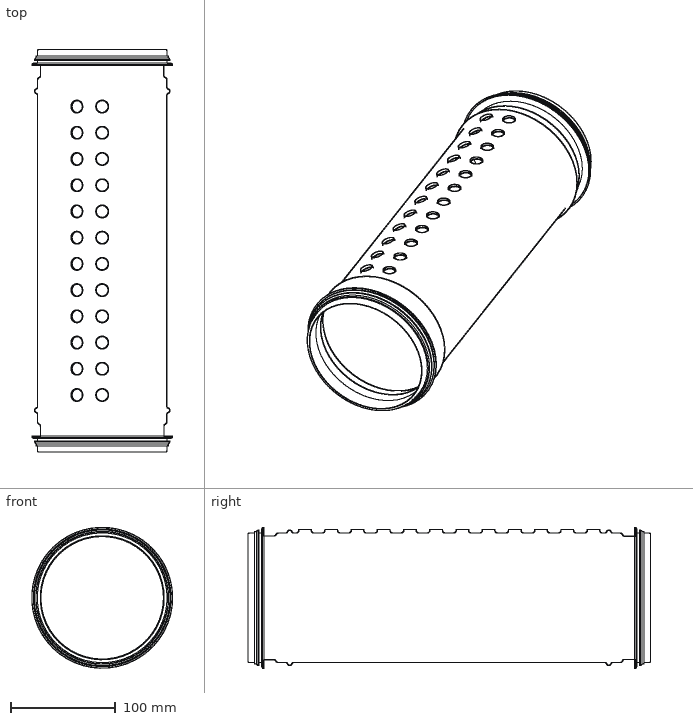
import cadquery as cq
import math

length = 384.0
wall = 0.58
pipe_radius = 123.5 / 2

neck_radii = {"front": 118.2 / 2, "back": 118.0 / 2}
neck_length = 25.0

bead_position = 40.0
bead_height = 129.5 / 2 - pipe_radius

convex_bend = 2.3
concave_bend = 1.73

nozzles_per_row = 12
row_length = 275.0
row_angles = (0.0, 21.7)
nozzle_radius = 12.3 / 2
nozzle_top = 65.3
nozzle_flare = 2.5

seal_radius = pipe_radius
seal_end_round = 1.5
barb_start = 6.0
barb_start_radius = 63.0
barb_crease = 8.0
barb_crease_radius = 63.5
barb_radius = 129.5 / 2
barb_tip = 9.5
barb_end = 10.7
lip_start = 13.0
lip_thickness = 1.0
lip_bend_radius = 65.5
lip_radius = 134.5 / 2
seal_length = 15.5


def place_at_end(solid, end):
    """Move a solid built along +Y from a pipe end at Y = 0 to the front or the back end."""
    if end == "back":
        return solid.mirror("XZ").translate((0, length / 2, 0))
    return solid.translate((0, -length / 2, 0))


def revolve_about_y(profile):
    return profile.close().revolve(360, (0, 0, 0), (0, 1, 0))


def bend_angle(rise):
    """Angle of two opposite bends that together move the sheet outwards by `rise`."""
    return math.acos(1 - rise / (convex_bend + concave_bend))


def bend_run(rise):
    """Length along the pipe of two opposite bends that move the sheet by `rise`."""
    return (convex_bend + concave_bend) * math.sin(bend_angle(rise))


def on_bend(tangent_point, bend_radius, angle):
    """Point reached from `tangent_point`, a (radius, distance) pair where the sheet lies along the axis.

    A positive `bend_radius` curves outwards and a negative one inwards.
    A positive `angle` runs towards the middle of the pipe and a negative one towards its end.
    """
    radius, distance = tangent_point
    return (radius + bend_radius * (1 - math.cos(angle)), distance + abs(bend_radius) * math.sin(angle))


def bend_outwards(profile, start, rise, inset):
    """Continue a profile from a (radius, distance) point by two bends that widen it by `rise`."""
    concave = concave_bend + inset
    convex = convex_bend - inset
    angle = bend_angle(rise)
    end = (start[0] + rise, start[1] + bend_run(rise))
    return (
        profile
        .threePointArc(on_bend(start, concave, angle / 2), on_bend(start, concave, angle))
        .threePointArc(on_bend(end, -convex, -angle / 2), end)
    )


def add_bead(profile, radius, inset):
    """Continue a profile with the bead, which rises from the given radius."""
    concave = concave_bend + inset
    convex = convex_bend - inset
    angle = bend_angle(bead_height)
    foot = (radius, bead_position - bend_run(bead_height))
    crest = (radius + bead_height, bead_position)
    far_foot = (radius, bead_position + bend_run(bead_height))
    return (
        profile
        .lineTo(*foot)
        .threePointArc(on_bend(foot, concave, angle / 2), on_bend(foot, concave, angle))
        .threePointArc(crest, on_bend(crest, -convex, angle))
        .threePointArc(on_bend(far_foot, concave, -angle / 2), far_foot)
    )


def half_envelope(end, inset):
    """Half of the solid inside the pipe skin moved inwards by `inset`."""
    neck = neck_radii[end] - inset
    body = pipe_radius - inset
    profile = cq.Workplane("XY").lineTo(neck, 0).lineTo(neck, neck_length)
    profile = bend_outwards(profile, (neck, neck_length), body - neck, inset)
    profile = add_bead(profile, body, inset)
    profile = profile.lineTo(body, length / 2).lineTo(0, length / 2)
    return place_at_end(revolve_about_y(profile), end)


def envelope(inset):
    return half_envelope("front", inset).union(half_envelope("back", inset)).val()


def nozzle_cylinders(radius):
    """Solid cylinders from the pipe axis to the rim of every nozzle."""
    pitch = row_length / (nozzles_per_row - 1)
    upright = cq.Workplane("XY").circle(radius).extrude(nozzle_top)
    cylinders = []
    for angle in row_angles:
        tilted = upright.rotate((0, 0, 0), (0, 1, 0), -angle)
        for i in range(nozzles_per_row):
            cylinders.append(tilted.translate((0, i * pitch - row_length / 2, 0)).val())
    return cylinders


def is_bore_mouth(edge):
    """True for the curves where the nozzle bores meet the bore of the pipe.

    They are spline curves, shorter than any spline curve on the outer skin.
    """
    return edge.geomType() == "BSPLINE" and edge.Length() < 2 * math.pi * nozzle_radius


def make_pipe():
    skin = envelope(0).fuse(*nozzle_cylinders(nozzle_radius)).clean()
    flared_skin = cq.Workplane(skin).edges("%BSPLINE").fillet(nozzle_flare).val()
    hollow = flared_skin.cut(envelope(wall), *nozzle_cylinders(nozzle_radius - wall))
    return cq.Workplane(hollow).edges().filter(is_bore_mouth).fillet(nozzle_flare + wall)


def make_seal(end):
    """Sleeve on the neck, flush with the pipe end, with a barb and a longer leaning lip behind it."""
    bore_radius = neck_radii[end]
    profile = (
        cq.Workplane("XY")
        .moveTo(bore_radius, 0)
        .lineTo(seal_radius - seal_end_round, 0)
        .radiusArc((seal_radius, seal_end_round), -seal_end_round)
        .lineTo(seal_radius, barb_start)
        .lineTo(barb_start_radius, barb_start)
        .lineTo(barb_crease_radius, barb_crease)
        .lineTo(barb_radius, barb_tip)
        .lineTo(barb_radius, barb_end)
        .lineTo(seal_radius, barb_end)
        .lineTo(seal_radius, lip_start)
        .lineTo(lip_bend_radius, lip_start)
        .lineTo(lip_radius, seal_length - lip_thickness)
        .lineTo(lip_radius, seal_length)
        .lineTo(lip_bend_radius, lip_start + lip_thickness)
        .lineTo(lip_bend_radius, seal_length)
        .lineTo(bore_radius, seal_length)
    )
    return place_at_end(revolve_about_y(profile), end)


pipe = make_pipe()
seals = [make_seal(end) for end in ("front", "back")]
result = cq.Compound.makeCompound([pipe.solids().val(), *[seal.val() for seal in seals]])